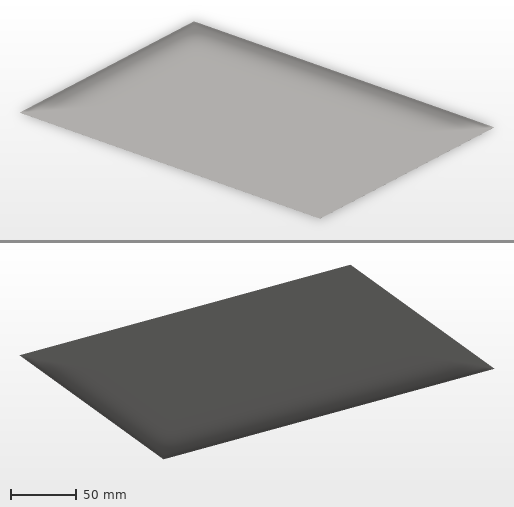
import cadquery as cq

sheet_length = 297.0
sheet_width = 210.0
sheet_thickness = 0.05

result = cq.Workplane("XY").box(sheet_length, sheet_width, sheet_thickness)